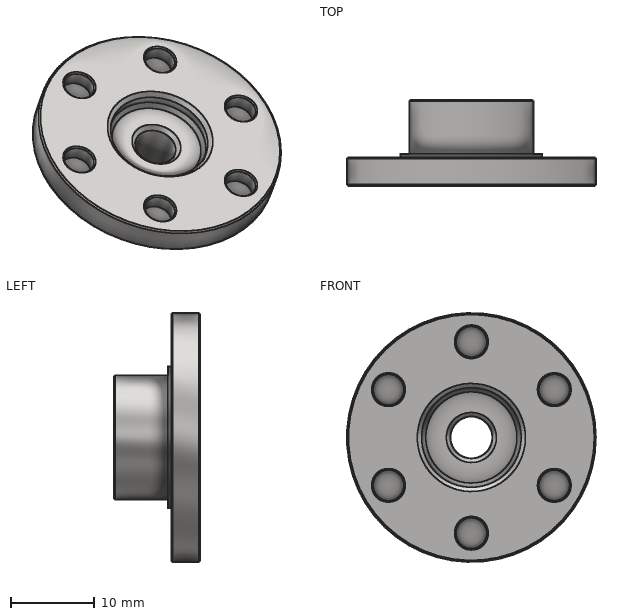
import cadquery as cq

flange_diameter = 30.0
flange_thickness = 3.5
edge_chamfer = 0.2

collar_diameter = 17.1
collar_thickness = 0.4
hub_diameter = 15.0
total_length = 10.4
hub_chamfer = 0.2

recess_diameter = 12.0
recess_depth = 2.0
bore_diameter = 5.0
opening_chamfer = 0.5

hole_count = 6
hole_diameter = 3.7
hole_depth = 2.0
hole_chamfer = 0.18
hole_circle_radius = 11.52
first_hole_angle = 90.0


def cylinder(diameter, start, end):
    """Solid cylinder along Y, from Y = start to Y = end."""
    plane = cq.Workplane("XZ", origin=(0, start, 0))
    return plane.circle(diameter / 2).extrude(start - end)


def bevel_cutter(diameter, start, size):
    """Cone narrowing by size to the given diameter at 45 degrees, from Y = start."""
    radius = diameter / 2
    outline = [(0, start), (radius + size, start), (radius, start + size), (0, start + size)]
    return cq.Workplane("XY").polyline(outline).close().revolve(360, (0, 0, 0), (0, 1, 0))


def make_body():
    collar_end = flange_thickness + collar_thickness
    flange = cylinder(flange_diameter, 0, flange_thickness).edges().chamfer(edge_chamfer)
    collar = cylinder(collar_diameter, 0.5 * flange_thickness, collar_end)
    hub = cylinder(hub_diameter, 0.5 * flange_thickness, total_length)
    hub = hub.faces(">Y").edges().chamfer(hub_chamfer)
    return flange.union(collar).union(hub)


def make_central_opening():
    recess = cylinder(recess_diameter, 0, recess_depth)
    recess = recess.faces(">Y").edges().chamfer(opening_chamfer)
    recess_mouth = bevel_cutter(recess_diameter, 0, opening_chamfer)
    bore = cylinder(bore_diameter, 0, total_length)
    bore_mouth = bevel_cutter(bore_diameter, recess_depth, opening_chamfer)
    return recess.union(recess_mouth).union(bore).union(bore_mouth)


def make_blind_hole():
    hole = cylinder(hole_diameter, 0, hole_depth)
    return hole.union(bevel_cutter(hole_diameter, 0, hole_chamfer))


result = make_body().cut(make_central_opening())

blind_hole = make_blind_hole().translate((hole_circle_radius, 0, 0))
for index in range(hole_count):
    angle = first_hole_angle + index * 360 / hole_count
    result = result.cut(blind_hole.rotate((0, 0, 0), (0, 1, 0), angle))